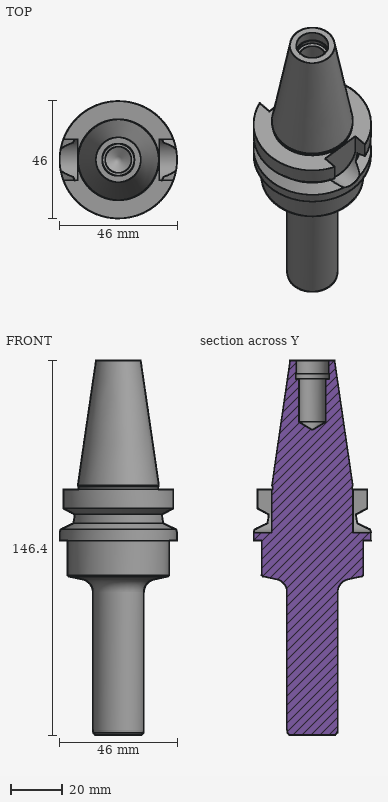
import cadquery as cq
import math

TOTAL_HEIGHT = 146.4
TAPER_LENGTH = 48.8
NECK_HEIGHT = 1.6
LIP_HEIGHT = 0.6
FLANGE_HEIGHT = 20.0
BODY_HEIGHT = 14.0

GAUGE_DIAMETER = 31.8
NECK_DIAMETER = 31.3
FLANGE_DIAMETER = 46.0
GROOVE_DIAMETER = 37.8
BODY_DIAMETER = 40.0
SHANK_DIAMETER = 20.0
TAPER_RATIO = 7 / 24

UPPER_RIM_HEIGHT = 7.5
LOWER_RIM_HEIGHT = 4.4
GROOVE_FLANK_ANGLE = 30.0

BODY_CHAMFER = 0.6
UNDERSIDE_ANGLE = 12.0
SHANK_FILLET = 5.0
LEAD_IN_WIDTH = 0.1
LEAD_IN_HEIGHT = 1.2
END_CHAMFER_WIDTH = 0.9
END_CHAMFER_HEIGHT = 0.9

SLOT_WIDTH = 16.1
SLOT_DEPTH = 16.8
SLOT_FLOOR_DISTANCE = 16.0

BORE_DIAMETER = 12.5
BORE_DEPTH = 5.1
RECESS_DIAMETER = 12.9
RECESS_DEPTH = 7.2
PILOT_DIAMETER = 10.2
PILOT_DEPTH = 24.0
DRILL_POINT_ANGLE = 118.0

gauge_z = TOTAL_HEIGHT - TAPER_LENGTH
flange_top = gauge_z - NECK_HEIGHT
flange_bottom = flange_top - FLANGE_HEIGHT
body_bottom = flange_bottom - BODY_HEIGHT

flange_radius = FLANGE_DIAMETER / 2
groove_radius = GROOVE_DIAMETER / 2
body_radius = BODY_DIAMETER / 2
shank_radius = SHANK_DIAMETER / 2


def turned_blank():
    """Taper, neck, grooved flange, body and shank as one revolved profile."""
    small_radius = (GAUGE_DIAMETER - TAPER_LENGTH * TAPER_RATIO) / 2
    neck_radius = NECK_DIAMETER / 2
    neck_top = gauge_z - LIP_HEIGHT
    flank_height = (flange_radius - groove_radius) * math.tan(math.radians(GROOVE_FLANK_ANGLE))
    upper_rim_bottom = flange_top - UPPER_RIM_HEIGHT
    lower_rim_top = flange_bottom + LOWER_RIM_HEIGHT

    lead_in_radius = shank_radius - LEAD_IN_WIDTH

    underside_radius = body_radius - BODY_CHAMFER
    slope = math.radians(UNDERSIDE_ANGLE)
    fillet_center_radius = shank_radius + SHANK_FILLET
    fillet_start_radius = fillet_center_radius - SHANK_FILLET * math.sin(slope)
    fillet_start_z = body_bottom - (underside_radius - fillet_start_radius) * math.tan(slope)
    fillet_center_z = fillet_start_z - SHANK_FILLET * math.cos(slope)
    middle_angle = (math.pi + math.pi / 2 + slope) / 2
    fillet_middle = (
        fillet_center_radius + SHANK_FILLET * math.cos(middle_angle),
        fillet_center_z + SHANK_FILLET * math.sin(middle_angle),
    )

    return (
        cq.Workplane("XZ")
        .moveTo(0, TOTAL_HEIGHT)
        .lineTo(small_radius, TOTAL_HEIGHT)
        .lineTo(GAUGE_DIAMETER / 2, gauge_z)
        .lineTo(neck_radius, neck_top)
        .lineTo(neck_radius, flange_top)
        .lineTo(flange_radius, flange_top)
        .lineTo(flange_radius, upper_rim_bottom)
        .lineTo(groove_radius, upper_rim_bottom - flank_height)
        .lineTo(groove_radius, lower_rim_top + flank_height)
        .lineTo(flange_radius, lower_rim_top)
        .lineTo(flange_radius, flange_bottom)
        .lineTo(body_radius, flange_bottom)
        .lineTo(body_radius, body_bottom + BODY_CHAMFER)
        .lineTo(underside_radius, body_bottom)
        .lineTo(fillet_start_radius, fillet_start_z)
        .threePointArc(fillet_middle, (shank_radius, fillet_center_z))
        .lineTo(shank_radius, END_CHAMFER_HEIGHT + LEAD_IN_HEIGHT)
        .lineTo(lead_in_radius, END_CHAMFER_HEIGHT)
        .lineTo(lead_in_radius - END_CHAMFER_WIDTH, 0)
        .lineTo(0, 0)
        .close()
        .revolve(360, (0, 0, 0), (0, 1, 0))
    )


def drive_slot(side):
    """Round-ended slot cutter on the +X (side = 1) or -X (side = -1) side."""
    half_width = SLOT_WIDTH / 2
    slot_bottom = flange_top - SLOT_DEPTH
    arc_z = slot_bottom + half_width
    return (
        cq.Workplane("YZ", origin=(side * SLOT_FLOOR_DISTANCE, 0, 0))
        .moveTo(-half_width, flange_top)
        .lineTo(-half_width, arc_z)
        .threePointArc((0, slot_bottom), (half_width, arc_z))
        .lineTo(half_width, flange_top)
        .close()
        .extrude(side * flange_radius)
    )


def end_hole():
    """Bore with an undercut recess, then a pilot hole with a conical bottom, as a revolved cutter."""
    bore_radius = BORE_DIAMETER / 2
    recess_radius = RECESS_DIAMETER / 2
    pilot_radius = PILOT_DIAMETER / 2
    bore_bottom = TOTAL_HEIGHT - BORE_DEPTH
    recess_bottom = TOTAL_HEIGHT - RECESS_DEPTH
    pilot_bottom = TOTAL_HEIGHT - PILOT_DEPTH
    point_height = pilot_radius / math.tan(math.radians(DRILL_POINT_ANGLE / 2))
    return (
        cq.Workplane("XZ")
        .moveTo(0, TOTAL_HEIGHT)
        .lineTo(bore_radius, TOTAL_HEIGHT)
        .lineTo(bore_radius, bore_bottom)
        .lineTo(recess_radius, bore_bottom)
        .lineTo(recess_radius, recess_bottom)
        .lineTo(pilot_radius, recess_bottom)
        .lineTo(pilot_radius, pilot_bottom)
        .lineTo(0, pilot_bottom - point_height)
        .close()
        .revolve(360, (0, 0, 0), (0, 1, 0))
    )


result = turned_blank().cut(end_hole())
for slot_side in (-1, 1):
    result = result.cut(drive_slot(slot_side))